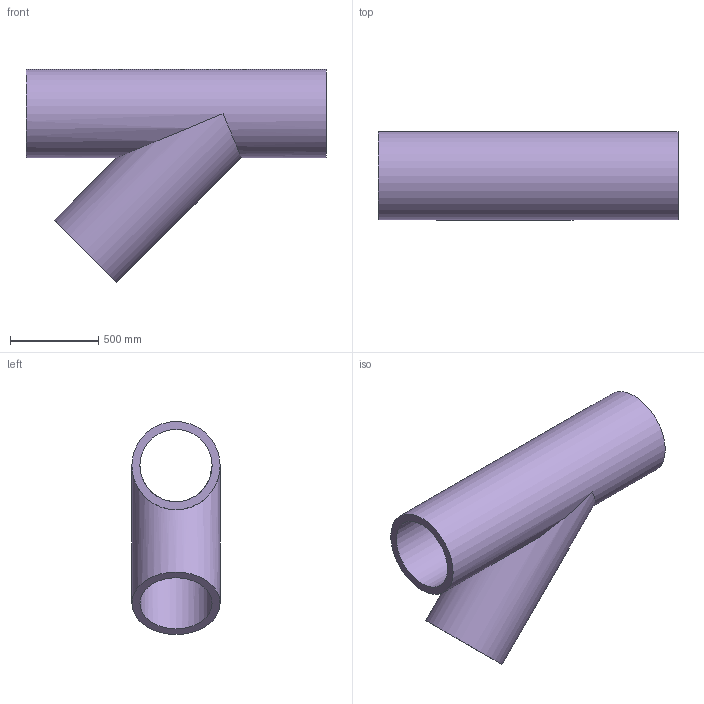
import cadquery as cq
import math

OUTER_DIAMETER = 500.0
BORE_DIAMETER = 409.2
RUN_LENGTH = 1700.0
BRANCH_ANGLE = 45.0
RUN_FREE_LENGTH = 480.0
BRANCH_FREE_LENGTH = 1000.0

outer_radius = OUTER_DIAMETER / 2

wall_meeting_offset = outer_radius * math.tan(math.radians(BRANCH_ANGLE / 2))
branch_length = BRANCH_FREE_LENGTH + wall_meeting_offset
run_start_x = RUN_FREE_LENGTH + wall_meeting_offset - RUN_LENGTH

branch_direction = cq.Vector(
    -math.cos(math.radians(BRANCH_ANGLE)),
    0,
    -math.sin(math.radians(BRANCH_ANGLE)),
)


def run_cylinder(diameter):
    """Cylinder along the full length of the straight run."""
    start = cq.Vector(run_start_x, 0, 0)
    return cq.Workplane(cq.Solid.makeCylinder(diameter / 2, RUN_LENGTH, start, cq.Vector(1, 0, 0)))


def branch_cylinder(diameter):
    """Cylinder from the axis crossing to the free end of the branch."""
    return cq.Workplane(
        cq.Solid.makeCylinder(diameter / 2, branch_length, cq.Vector(0, 0, 0), branch_direction)
    )


body = run_cylinder(OUTER_DIAMETER).union(branch_cylinder(OUTER_DIAMETER))
bores = run_cylinder(BORE_DIAMETER).union(branch_cylinder(BORE_DIAMETER))

result = body.cut(bores)